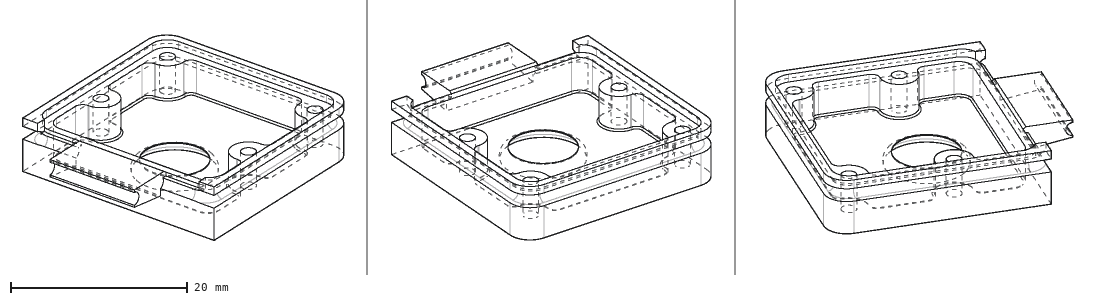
import cadquery as cq

overall_length = 31.1
width = 27.2
height = 6.9
tongue_reach = 4.9
length = overall_length - tongue_reach
back_corner_radius = 2.75

hole_diameter = 1.8
hole_inset = 3.1
hole_row_spacing = 12.5
hole_x = width / 2 - hole_inset
back_row_y = length - hole_inset
front_row_y = back_row_y - hole_row_spacing

rim_width = 1.0
recess_depth = 1.0
recess_floor_z = height - recess_depth
recess_corner_radius = hole_inset - rim_width

wall_width = 2.0
floor_z = 1.5
boss_radius = 2.27
boss_blend_radius = 1.0
pocket_front_radius = 1.7
pocket_chamfer = 0.22

opening_diameter = 8.0
opening_lip = 0.12
opening_groove_radius = 1.0

groove_bottom_z = 4.17
groove_top_z = 5.82
groove_mid_z = (groove_bottom_z + groove_top_z) / 2
groove_side_depth = 1.37
groove_front_depth = 0.53
groove_arc_depth = 0.75
groove_corner_radius = hole_inset - groove_side_depth
groove_cutter_width = 3.73

gap_width = 22.95
gap_depth = 1.5

tongue_width = 12.0
tongue_top_z = 6.15
tongue_root_z = 3.25
tongue_tip_z = 3.92
tongue_ramp_end_y = 0.65
tip_groove_depth = 0.85


def box(x_size, y_min, y_max, z_min, z_max, x_mid=0.0):
    """Box centred on x_mid, spanning the given Y and Z ranges."""
    return (
        cq.Workplane("XY", origin=(x_mid, (y_min + y_max) / 2, z_min))
        .box(x_size, y_max - y_min, z_max - z_min, centered=(True, True, False))
    )


def make_block():
    block = box(width, 0, length, 0, height)
    return block.edges("|Z and >Y").fillet(back_corner_radius)


def recess_outline(z_min, z_max):
    """Upright body with the rounded outline of the recess."""
    body = box(width - 2 * rim_width, rim_width, length - rim_width, z_min, z_max)
    return body.edges("|Z").fillet(recess_corner_radius)


def make_front_boss(side):
    """Round boss with a web of the same width running to the side wall."""
    x = side * hole_x
    boss = (
        cq.Workplane("XY", origin=(x, front_row_y, floor_z))
        .circle(boss_radius)
        .extrude(recess_floor_z - floor_z)
    )
    web_x = side * (hole_x + hole_inset / 2)
    y_min = front_row_y - boss_radius
    y_max = front_row_y + boss_radius
    return boss.union(box(hole_inset, y_min, y_max, floor_z, recess_floor_z, web_x))


def make_back_boss(side):
    """Boss of a back corner, joined to the side wall and to the back wall."""
    boss = make_front_boss(side).translate((0, hole_row_spacing, 0))
    back_web = box(2 * boss_radius, back_row_y, length, floor_z, recess_floor_z, side * hole_x)
    return boss.union(back_web)


def make_pocket():
    pocket = box(width - 2 * wall_width, wall_width, length - wall_width, floor_z, recess_floor_z)
    pocket = pocket.edges("|Z and <Y").fillet(pocket_front_radius)
    for side in (-1, 1):
        pocket = pocket.cut(make_front_boss(side)).cut(make_back_boss(side))

    inner_x = width / 2 - wall_width
    blend_points = [
        (hole_x - boss_radius, length - wall_width),
        (inner_x, back_row_y - boss_radius),
        (inner_x, front_row_y + boss_radius),
        (inner_x, front_row_y - boss_radius),
    ]
    mid_z = (floor_z + recess_floor_z) / 2
    for x, y in blend_points:
        for side in (-1, 1):
            corner = cq.selectors.NearestToPointSelector((side * x, y, mid_z))
            pocket = pocket.edges("|Z").edges(corner).fillet(boss_blend_radius)
    return pocket.faces("<Z").edges().chamfer(pocket_chamfer)


def make_groove_cutter():
    """Ring around the block whose inner side bulges inward as a circular arc."""
    half_width = width / 2 - groove_side_depth
    y_front = groove_front_depth
    y_back = length - groove_side_depth
    straight_x = half_width - groove_corner_radius
    straight_front_y = y_front + groove_corner_radius
    straight_back_y = y_back - groove_corner_radius

    path = (
        cq.Workplane("XY", origin=(0, 0, groove_mid_z))
        .moveTo(half_width, length / 2)
        .lineTo(half_width, straight_back_y)
        .tangentArcPoint((straight_x, y_back), relative=False)
        .lineTo(-straight_x, y_back)
        .tangentArcPoint((-half_width, straight_back_y), relative=False)
        .lineTo(-half_width, straight_front_y)
        .tangentArcPoint((-straight_x, y_front), relative=False)
        .lineTo(straight_x, y_front)
        .tangentArcPoint((half_width, straight_front_y), relative=False)
        .close()
    )
    arc_end_x = half_width + groove_arc_depth
    outer_x = half_width + groove_cutter_width
    section = (
        cq.Workplane("XZ", origin=(0, length / 2, 0))
        .moveTo(arc_end_x, groove_bottom_z)
        .threePointArc((half_width, groove_mid_z), (arc_end_x, groove_top_z))
        .lineTo(outer_x, groove_top_z)
        .lineTo(outer_x, groove_bottom_z)
        .close()
    )
    return section.sweep(path)


def make_rim_gap():
    """Opening in the front rim that stops at the rounded outline of the recess."""
    gap = box(gap_width, 0, hole_inset, height - gap_depth, height)
    return gap.cut(recess_outline(0, height))


def make_tongue():
    tip_y = -tongue_reach
    return (
        cq.Workplane("YZ", origin=(-tongue_width / 2, 0, 0))
        .moveTo(rim_width, recess_floor_z)
        .lineTo(tongue_ramp_end_y, tongue_top_z)
        .lineTo(tip_y, tongue_top_z)
        .lineTo(tip_y, groove_top_z)
        .threePointArc((tip_y + tip_groove_depth, groove_mid_z), (tip_y, groove_bottom_z))
        .lineTo(tip_y, tongue_tip_z)
        .lineTo(0, tongue_root_z)
        .lineTo(rim_width, tongue_root_z)
        .close()
        .extrude(tongue_width)
    )


def make_screw_holes():
    points = [(side * hole_x, y) for side in (-1, 1) for y in (front_row_y, back_row_y)]
    return (
        cq.Workplane("XY", origin=(0, 0, floor_z))
        .pushPoints(points)
        .circle(hole_diameter / 2)
        .extrude(recess_floor_z - floor_z)
    )


def make_opening():
    """Round opening with a thin lip at the floor and a round groove undercut beneath it."""
    radius = opening_diameter / 2
    hole = cq.Workplane("XY", origin=(0, front_row_y, 0)).circle(radius).extrude(height)
    groove_z = floor_z - opening_lip - opening_groove_radius
    groove = (
        cq.Workplane("XZ", origin=(0, front_row_y, 0))
        .center(radius, groove_z)
        .circle(opening_groove_radius)
        .revolve(360, (-radius, 0), (-radius, 1))
    )
    return hole.union(groove)


result = (
    make_block()
    .cut(recess_outline(recess_floor_z, height))
    .cut(make_pocket())
    .cut(make_groove_cutter())
    .cut(make_rim_gap())
    .union(make_tongue())
    .cut(make_screw_holes())
    .cut(make_opening())
)